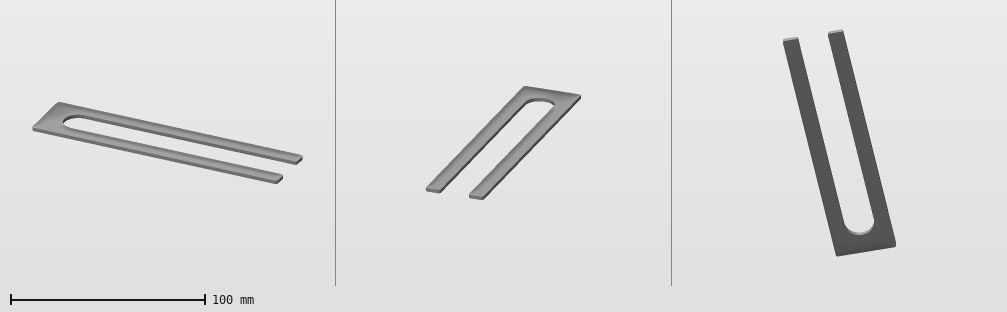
import cadquery as cq

length = 139.7
width = 31.7
thickness = 2.0

slot_width = 15.6
base_length = 11.2

corner_radius = 1.3

slot_radius = slot_width / 2
slot_center_x = base_length + slot_radius

plate = cq.Workplane("XY").box(length, width, thickness, centered=(False, True, False))

slot_round = cq.Workplane("XY").center(slot_center_x, 0).circle(slot_radius).extrude(thickness)
slot_channel = (
    cq.Workplane("XY")
    .center(slot_center_x, 0)
    .rect(length - slot_center_x, slot_width, centered=(False, True))
    .extrude(thickness)
)
fork = plate.cut(slot_round.union(slot_channel))

closed_end_edges = fork.faces("<X").edges("|Z")
tip_edges = fork.faces(">X").edges("|Z")
result = fork.newObject(closed_end_edges.vals() + tip_edges.vals()).fillet(corner_radius)